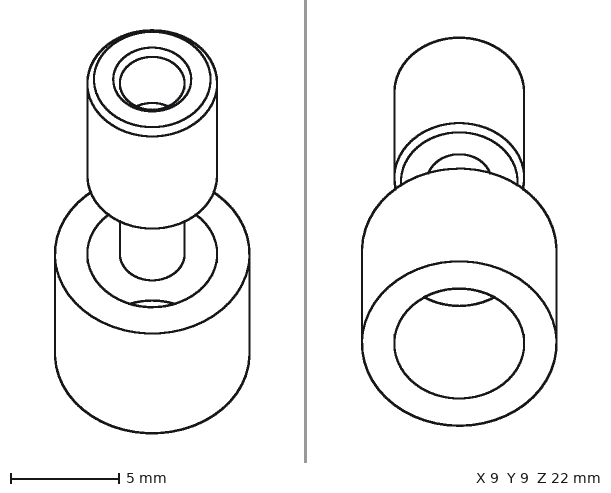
import cadquery as cq

TOTAL_HEIGHT = 22.0
SLEEVE_DIAMETER = 9.0
SLEEVE_HEIGHT = 8.0
HEAD_DIAMETER = 6.0
HEAD_HEIGHT = 8.0
STEM_DIAMETER = 3.0
EDGE_CHAMFER = 0.3

BORE_DIAMETER = HEAD_DIAMETER
SOCKET_DIAMETER = STEM_DIAMETER
SOCKET_DEPTH = HEAD_HEIGHT / 2

HEAD_BOTTOM = TOTAL_HEIGHT - HEAD_HEIGHT
STEM_LENGTH = HEAD_BOTTOM - SLEEVE_HEIGHT


def make_sleeve():
    """Plain tube with a through bore, standing on Z = 0."""
    return (
        cq.Workplane("XY")
        .circle(SLEEVE_DIAMETER / 2)
        .circle(BORE_DIAMETER / 2)
        .extrude(SLEEVE_HEIGHT)
    )


def make_plunger():
    """Chamfered head with a blind socket, on a stem ending level with the sleeve top."""
    head = (
        cq.Workplane("XY", origin=(0, 0, HEAD_BOTTOM))
        .circle(HEAD_DIAMETER / 2)
        .extrude(HEAD_HEIGHT)
        .edges("%CIRCLE")
        .chamfer(EDGE_CHAMFER)
    )
    socketed_head = (
        head.faces(">Z")
        .workplane()
        .hole(SOCKET_DIAMETER, SOCKET_DEPTH)
        .faces(">Z")
        .edges("%CIRCLE")
        .edges(cq.selectors.RadiusNthSelector(0))
        .chamfer(EDGE_CHAMFER)
    )
    stem = (
        cq.Workplane("XY", origin=(0, 0, SLEEVE_HEIGHT))
        .circle(STEM_DIAMETER / 2)
        .extrude(STEM_LENGTH)
    )
    return socketed_head.union(stem)


sleeve = make_sleeve()
plunger = make_plunger()

result = cq.Compound.makeCompound([sleeve.val(), plunger.val()])